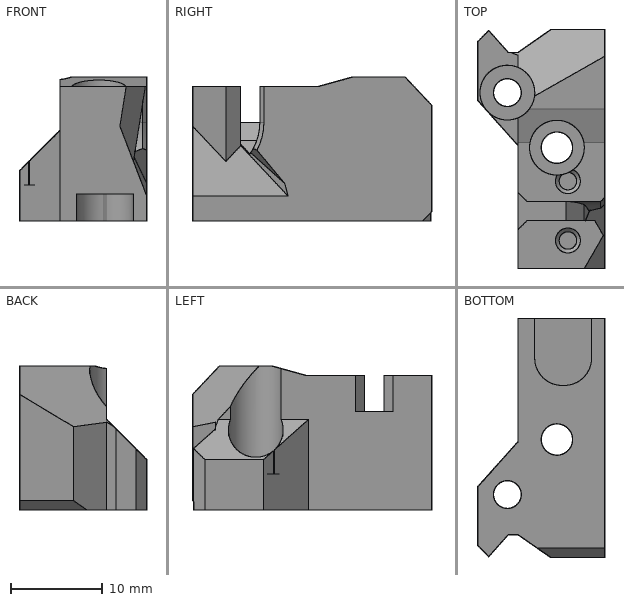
import cadquery as cq
import math

length = 26.2
width = 9.5
height = 15.8
big = 3 * length

deck_z = 14.78
ramp_start_y = 13.8
ramp_end_y = 17.5

corner_x = 3.62
corner_y = 23.68
incline_right_y = 23.27
incline_left_y = 17.87
incline_point = (width, incline_right_y, height)
incline_fall = 1.06
back_chamfer = 1.05

ear_width = 4.4
ear_root_z = 9.95
ear_root_y = 13.5
ear_side_front_y = 18.42
ear_side_back_y = 24.86
ear_tip = (-3.2, 26.1)
ear_notch_x = -1.05

counterbore_d = 6.0
counterbore_floor_z = 3.95
ear_screw = (-1.15, 19.28)
ear_screw_d = 3.0
main_screw = (4.27, 13.25)
main_screw_d = 3.4

pin_x = 5.48
pin_ys = (3.1, 9.6)
pin_d = 1.9
pin_mouth_d = 2.72
pin_mouth_depth = (pin_mouth_d - pin_d) / 2
pin_depth = 4.98

slot_front_y = 5.27
slot_back_y = 7.35
slot_floor_z = 10.82
slot_flare = 1.0
slot_right_flare_x = 9.07
slot_wall_radius = 6.0
slot_wall_sweep = 60.0
recess_x = 5.27
recess_corner_x = 7.25

tooth_front_x = 7.25
tooth_tip = (9.35, 3.65)
tooth_valley_y = slot_front_y
tooth_wall_angle = 30.0
tooth_lean = 9.0
tooth_floor_x = 6.58
tooth_floor_z = 10.38
tooth_floor_fall = 2.6
roof_point = (width, 7.15, 7.65)
roof_fall = 1.2

channel_left_x = 1.83
channel_right_x = 8.07
channel_height = 2.99
channel_length = 7.34
channel_corner_radius = counterbore_d / 2


def prism_z(points, bottom, top):
    return cq.Workplane("XY").workplane(offset=bottom).polyline(points).close().extrude(top - bottom)


def prism_y(points, start, end):
    """Extrude an XZ outline from Y = start to Y = end."""
    return cq.Workplane("XZ", origin=(0, start, 0)).polyline(points).close().extrude(start - end)


def inclined_slab(start_x, surface_point, fall, thickness):
    """Slab from start_x past the right side, between an inclined plane and its copy raised by thickness.

    The plane holds surface_point, drops by fall per unit of Y and is level along the direction of the
    upper edge of the back incline. A negative thickness puts the slab below the plane.
    """
    run = (incline_right_y - incline_left_y) / width
    point_x, point_y, point_z = surface_point
    corners = []
    for y, rise in ((-big, 0), (big, 0), (big, thickness), (-big, thickness)):
        z = point_z - fall * (y - point_y) + fall * run * (start_x - point_x)
        corners.append(cq.Vector(start_x, y, z + rise))
    outline = cq.Wire.makePolygon(corners, close=True)
    sweep_x = length - start_x
    return cq.Workplane(cq.Solid.extrudeLinear(outline, [], cq.Vector(sweep_x, 0, fall * run * sweep_x)))


def make_block():
    side = [
        (0, 0),
        (length - back_chamfer, 0),
        (length, back_chamfer),
        (length, height),
        (ramp_end_y, height),
        (ramp_start_y, deck_z),
        (0, deck_z),
    ]
    block = cq.Workplane("YZ").polyline(side).close().extrude(width)
    corner = prism_z([(0, corner_y), (corner_x, length), (0, length)], 0, height)
    return block.cut(corner)


def make_ear():
    outline = [
        (0, ear_root_y),
        (-ear_width, ear_side_front_y),
        (-ear_width, ear_side_back_y),
        ear_tip,
        (ear_notch_x, corner_y),
        (0, corner_y),
    ]
    above_slope = [(0, ear_root_z), (-ear_width, ear_root_z - ear_width), (-ear_width, height), (0, height)]
    return prism_z(outline, 0, height).cut(prism_y(above_slope, 0, length))


def counterbored_hole(center, hole_d):
    hole = cq.Workplane("XY").center(*center).circle(hole_d / 2).extrude(height)
    bore = cq.Workplane("XY", origin=(*center, counterbore_floor_z)).circle(counterbore_d / 2).extrude(height)
    return hole.union(bore)


def countersunk_hole(y):
    profile = [
        (0, deck_z),
        (pin_mouth_d / 2, deck_z),
        (pin_d / 2, deck_z - pin_mouth_depth),
        (pin_d / 2, deck_z - pin_depth),
        (0, deck_z - pin_depth),
    ]
    hole = cq.Workplane("XZ").polyline(profile).close().revolve(360, (0, 0, 0), (0, 1, 0))
    return hole.translate((pin_x, y, 0))


def flared_back_outline(left_x, front_y):
    """Plan outline reaching back to the rear slot wall, with the wall's right end flared at 45 degrees."""
    flare = width - slot_right_flare_x
    return [
        (left_x, front_y),
        (width, front_y),
        (width, slot_back_y + flare),
        (slot_right_flare_x, slot_back_y),
        (left_x, slot_back_y),
    ]


def make_slot():
    slot = prism_z(flared_back_outline(0, slot_front_y), slot_floor_z, height)
    mouth = [
        (0, slot_front_y - slot_flare),
        (slot_flare, slot_front_y),
        (slot_flare, slot_back_y),
        (0, slot_back_y + slot_flare),
    ]
    return slot.union(prism_z(mouth, slot_floor_z, height))


def make_curved_slot():
    """Slot continued downward along an arc, about an X axis level with the slot floor."""
    axis_y = slot_back_y - slot_wall_radius
    outline = flared_back_outline(recess_x, axis_y)
    return (
        cq.Workplane("XY", origin=(0, 0, slot_floor_z))
        .polyline(outline)
        .close()
        .revolve(slot_wall_sweep, (width, axis_y, 0), (0, axis_y, 0))
    )


def make_recess():
    corner_z = slot_floor_z - (recess_corner_x - recess_x)
    right_z = corner_z - tooth_floor_fall * (width - recess_corner_x)
    section = [
        (recess_x, slot_floor_z),
        (recess_corner_x, corner_z),
        (width, right_z),
        (width, slot_floor_z),
    ]
    return prism_y(section, slot_front_y, length).intersect(make_curved_slot())


def make_tooth_cut():
    slope = math.tan(math.radians(tooth_wall_angle))
    valley_x = tooth_tip[0] - slope * (tooth_valley_y - tooth_tip[1])
    far_x = 1.5 * width
    far_y = tooth_valley_y + (far_x - valley_x) / slope
    plan = [(tooth_front_x, 0), tooth_tip, (valley_x, tooth_valley_y), (far_x, far_y), (big, far_y), (big, 0)]
    wire = cq.Wire.makePolygon([cq.Vector(x, y, deck_z) for x, y in plan], close=True)
    lean = cq.Vector(-deck_z * math.tan(math.radians(tooth_lean)), 0, -deck_z)
    walls = cq.Workplane(cq.Solid.extrudeLinear(wire, [], lean))

    floor_right_z = tooth_floor_z - tooth_floor_fall * (width - tooth_floor_x)
    floor_top_x = tooth_floor_x - (deck_z - tooth_floor_z) / tooth_floor_fall
    above_floor = prism_y([(floor_top_x, deck_z), (width, floor_right_z), (width, deck_z)], 0, length)

    reach = (
        cq.Workplane("XY").box(width, slot_front_y, deck_z, centered=False)
        .union(make_slot())
        .union(make_curved_slot())
        .union(inclined_slab(0, roof_point, roof_fall, -big))
    )
    return walls.intersect(above_floor).intersect(reach)


def make_channel():
    channel_width = channel_right_x - channel_left_x
    return (
        cq.Workplane("XY")
        .box(channel_width, channel_length, channel_height, centered=False)
        .edges("|Z and >Y")
        .fillet(channel_corner_radius)
        .translate((channel_left_x, 0, 0))
    )


result = make_block().union(make_ear())
result = result.cut(inclined_slab(ear_notch_x, incline_point, incline_fall, big))
result = result.cut(counterbored_hole(ear_screw, ear_screw_d))
result = result.cut(counterbored_hole(main_screw, main_screw_d))
for pin_y in pin_ys:
    result = result.cut(countersunk_hole(pin_y))
result = result.cut(make_slot()).cut(make_recess()).cut(make_tooth_cut()).cut(make_channel())